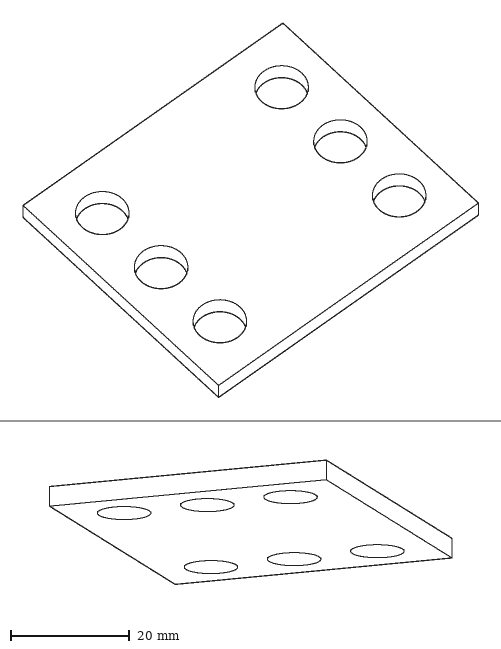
import cadquery as cq

width = 50.0
length = 58.0
thickness = 3.4

hole_diameter = 9.0
holes_per_row = 3
row_count = 2
hole_pitch = 15.0
row_spacing = 40.0

plate = cq.Workplane("XY").box(width, length, thickness)

result = (
    plate.faces(">Z")
    .workplane()
    .rarray(hole_pitch, row_spacing, holes_per_row, row_count)
    .hole(hole_diameter)
)